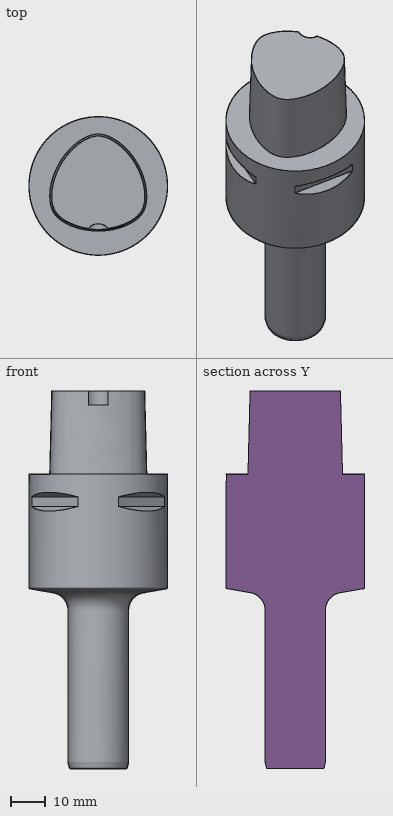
import cadquery as cq
import math

total_height = 109.0
taper_height = 24.0
body_top = total_height - taper_height

body_radius = 40.0 / 2
shank_radius = 17.5 / 2
rim_height = 52.0
rim_fillet = 0.5
underside_angle = math.radians(10)
neck_fillet = 5.0

lead_in_height = 2.0
lead_in_inset = 0.3
tip_round = 0.7

lobe_radius = 28.0 / 2
lobe_offset = 1.0
taper_per_side = 1 / 40
lobe_count = 3
points_per_face = 7

notch_count = 4
notch_first_angle = 45
notch_z = 77.1
notch_floor_height = 2.7
notch_floor_distance = 17.7
notch_flank_angle = math.radians(30)
cutter_clearance = 1.1

key_radius = 3.5
key_back_y = -10.9
key_depth = 4.0


def lobe_point(radius, normal_degrees):
    """Point of the lobed outline whose outward normal has the given angle."""
    angle = math.radians(normal_degrees)
    phase = lobe_count * (angle - math.pi / 2)
    reach = radius + lobe_offset * math.cos(phase)
    slope = -lobe_count * lobe_offset * math.sin(phase)
    return cq.Vector(
        reach * math.cos(angle) - slope * math.sin(angle),
        reach * math.sin(angle) + slope * math.cos(angle),
    )


def lobe_wire(radius, z):
    """Closed outline of alternating lobe corners and flatter sides."""
    face_span = 180 / lobe_count
    edges = []
    for face in range(2 * lobe_count):
        start = 90 - face_span / 2 + face * face_span
        step = face_span / (points_per_face - 1)
        points = [lobe_point(radius, start + i * step) + cq.Vector(0, 0, z) for i in range(points_per_face)]
        edges.append(cq.Edge.makeSpline(points))
    return cq.Wire.assembleEdges(edges)


def make_round_body():
    neck_center_radius = shank_radius + neck_fillet
    arc_outer_radius = neck_center_radius - neck_fillet * math.sin(underside_angle)
    arc_outer_z = rim_height - (body_radius - arc_outer_radius) * math.tan(underside_angle)
    neck_center_z = arc_outer_z - neck_fillet * math.cos(underside_angle)
    arc_middle_angle = (math.pi / 2 + underside_angle + math.pi) / 2
    arc_middle = (
        neck_center_radius + neck_fillet * math.cos(arc_middle_angle),
        neck_center_z + neck_fillet * math.sin(arc_middle_angle),
    )
    tip_radius = shank_radius - lead_in_inset
    tip_diagonal = tip_round * math.sqrt(0.5)
    profile = (
        cq.Workplane("XZ")
        .lineTo(tip_radius - tip_round, 0)
        .threePointArc(
            (tip_radius - tip_round + tip_diagonal, tip_round - tip_diagonal),
            (tip_radius, tip_round),
        )
        .lineTo(shank_radius, lead_in_height)
        .lineTo(shank_radius, neck_center_z)
        .threePointArc(arc_middle, (arc_outer_radius, arc_outer_z))
        .lineTo(body_radius, rim_height)
        .lineTo(body_radius, body_top)
        .lineTo(0, body_top)
        .close()
    )
    body = profile.revolve(360, (0, 0, 0), (0, 1, 0))
    rim = cq.selectors.RadiusNthSelector(-1)
    return body.edges("%CIRCLE").edges(rim).edges("<Z").fillet(rim_fillet)


def make_lobed_shank():
    top_radius = lobe_radius - taper_height * taper_per_side
    base = lobe_wire(lobe_radius, body_top)
    top = lobe_wire(top_radius, total_height)
    return cq.Workplane(cq.Solid.makeLoft([base, top], True))


def make_notch_cutter():
    """Straight prism with a flat floor and flanks opening outwards along +X."""
    mouth_distance = body_radius + cutter_clearance
    half_floor = notch_floor_height / 2
    half_mouth = half_floor + (mouth_distance - notch_floor_distance) * math.tan(notch_flank_angle)
    return (
        cq.Workplane("XZ")
        .polyline([
            (notch_floor_distance, notch_z - half_floor),
            (mouth_distance, notch_z - half_mouth),
            (mouth_distance, notch_z + half_mouth),
            (notch_floor_distance, notch_z + half_floor),
        ])
        .close()
        .extrude(body_radius, both=True)
    )


def make_key_cutter():
    return (
        cq.Workplane("XY", origin=(0, key_back_y - key_radius, total_height - key_depth))
        .circle(key_radius)
        .extrude(key_depth)
    )


result = make_round_body().union(make_lobed_shank())
for index in range(notch_count):
    diagonal = notch_first_angle + index * 360 / notch_count
    result = result.cut(make_notch_cutter().rotate((0, 0, 0), (0, 0, 1), diagonal))
result = result.cut(make_key_cutter())